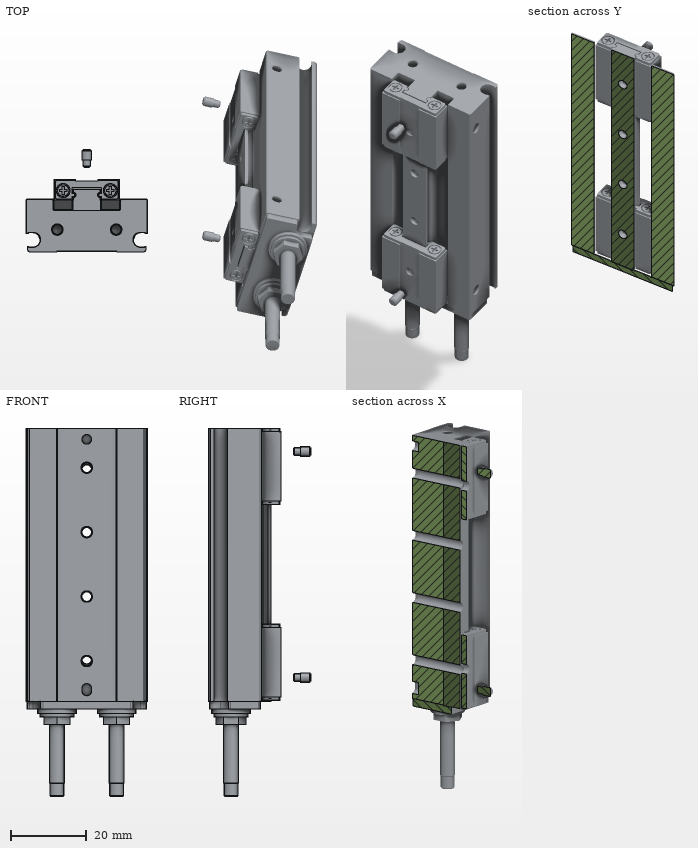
import cadquery as cq
import math

TOTAL_LENGTH = 97.1
HOUSING_LENGTH = 72.0
HOUSING_WIDTH = 32.0
HOUSING_DEPTH = 14.0
HOUSING_BOTTOM = TOTAL_LENGTH - HOUSING_LENGTH
HALF_WIDTH = HOUSING_WIDTH / 2
FRONT_CORNER_CHAMFER = 0.5
BACK_CORNER_RADIUS = 0.5

RELIEF_DEPTH = 0.2
RELIEF_HALF_WIDTH = 7.8

SLOT_DIAMETER = 3.8
SLOT_X = 14.2
SLOT_Y = 3.2
SLOT_MOUTH = 3.5
SLOT_LIP = 0.7
FRONT_LIP_SETBACK = 0.4

CHANNEL_WIDTH = 17.9
CHANNEL_DEPTH = 3.0
CHANNEL_FLOOR = HOUSING_DEPTH - CHANNEL_DEPTH
CHANNEL_RADIUS = 0.5

END_HOLE_X = 7.8
BORE_DIAMETER = 2.5
HOLE_MOUTH_DIAMETER = 3.0
HOLE_CHAMFER = (HOLE_MOUTH_DIAMETER - BORE_DIAMETER) / 2
DRILL_HALF_ANGLE = 59.0
THREAD_DEPTH = 5.05
MOUNTING_HOLE_COUNT = 4
MOUNTING_PITCH = 17.0
FIRST_MOUNTING_Z = 35.7
LOCATING_DIAMETER = 2.5
LOCATING_DEPTH = 2.0
LOCATING_HOLE_Z = 94.2
LOCATING_SLOT_Z = 28.2
LOCATING_SLOT_LENGTH = 3.2
PORT_Y = 11.1
PORT_ZS = (32.1, 90.1)

AXIS_X = 7.9
AXIS_Y = 5.9
COVER_INSET = 0.3
COVER_THICKNESS = 2.0
COVER_RADIUS = 0.6
COVER_PLUG_CLEARANCE = 0.3
COVER_PLUG_HEIGHT = 0.2
COVER_NOTCH_X = 12.1
COVER_NOTCH_RADIUS = 2.0
COLLAR_DIAMETER = 10.2
COLLAR_THICKNESS = 1.2
RING_DIAMETER = 9.0
RING_THICKNESS = 0.9
NUT_CORNER_DIAMETER = 8.0
NUT_THICKNESS = 2.0
ROD_DIAMETER = 4.0
ROD_TIP_DIAMETER = 3.7
ROD_TIP_LENGTH = 3.4
ROD_CHAMFER = 0.2

RAIL_WIDTH = 7.2
RAIL_TOP = 16.5
RAIL_GROOVE_RADIUS = 0.7
RAIL_GROOVE_Y = 15.05

CARRIAGE_LENGTH = 20.1
CARRIAGE_WIDTH = 17.2
CARRIAGE_TOP = 19.1
CARRIAGE_CLEARANCE = 0.3
CARRIAGE_BOTTOM = 13.7
CARRIAGE_CAP_BOTTOM = 14.0
CARRIAGE_ZS = (TOTAL_LENGTH - CARRIAGE_LENGTH, 25.3)
CARRIAGE_RELIEF_WIDTH = 6.0
CARRIAGE_RELIEF_DEPTH = 0.4
CARRIAGE_CAP_LENGTH = 0.9
CARRIAGE_CAP_INSET = 0.3
CARRIAGE_CAP_CHAMFER = 0.3
CARRIAGE_OPENING_WIDTH = RAIL_WIDTH + 2 * CARRIAGE_CLEARANCE
CARRIAGE_OPENING_TOP = 16.9
TRACK_RADIUS = 0.5
CARRIAGE_HOLE_SHIFT = 0.5
SCREW_X = 6.2
SCREW_Y = 16.2
SCREW_RECESS_DIAMETER = 3.7
SCREW_RECESS_DEPTH = 0.5
SCREW_HEAD_DIAMETER = 3.0
SCREW_CROSS_LENGTH = 2.0
SCREW_CROSS_WIDTH = 0.6
SCREW_CROSS_DEPTH = 0.5

PIN_ZS = (31.4, 91.0)
PIN_END_Y = 27.0
PIN_LENGTH = 4.7
PIN_HEAD_DIAMETER = 2.5
PIN_HEAD_LENGTH = 2.7
PIN_TAIL_DIAMETER = 2.0
PIN_CHAMFER = 0.4


def upright(outline, bottom, height):
    """Extrude an XY outline along +Z from the given height."""
    return outline.extrude(height).translate((0, 0, bottom))


def box(x_min, x_max, y_min, y_max, z_min, z_max):
    size = (x_max - x_min, y_max - y_min, z_max - z_min)
    return cq.Workplane("XY").box(*size, centered=False).translate((x_min, y_min, z_min))


def cylinder(start, direction, diameter, length):
    return cq.Workplane(cq.Solid.makeCylinder(diameter / 2, length, cq.Vector(*start), cq.Vector(*direction)))


def threaded_hole(start, direction):
    """Cutter for a blind hole with a chamfered mouth and a conical drill tip."""
    radius = BORE_DIAMETER / 2
    tip = radius / math.tan(math.radians(DRILL_HALF_ANGLE))
    profile = (
        cq.Workplane("XZ")
        .moveTo(0, 0)
        .lineTo(HOLE_MOUTH_DIAMETER / 2, 0)
        .lineTo(radius, HOLE_CHAMFER)
        .lineTo(radius, THREAD_DEPTH)
        .lineTo(0, THREAD_DEPTH + tip)
        .close()
        .revolve(360, (0, 0, 0), (0, 1, 0))
    )
    return cq.Workplane(profile.val().moved(cq.Location(cq.Plane(origin=start, normal=direction))))


def mounting_zs():
    return [FIRST_MOUNTING_Z + i * MOUNTING_PITCH for i in range(MOUNTING_HOLE_COUNT)]


def make_sensor_slot(side):
    """Round-bottomed slot with a narrower mouth, on the side given by +1 or -1."""
    lip_x = HALF_WIDTH - SLOT_LIP
    half_mouth = SLOT_MOUTH / 2
    half_slot = SLOT_DIAMETER / 2
    outline = (
        cq.Workplane("XY")
        .moveTo(side * SLOT_X, SLOT_Y - half_slot)
        .threePointArc((side * (SLOT_X - half_slot), SLOT_Y), (side * SLOT_X, SLOT_Y + half_slot))
        .lineTo(side * lip_x, SLOT_Y + half_slot)
        .lineTo(side * lip_x, SLOT_Y + half_mouth)
        .lineTo(side * HOUSING_WIDTH, SLOT_Y + half_mouth)
        .lineTo(side * HOUSING_WIDTH, SLOT_Y - half_mouth)
        .lineTo(side * lip_x, SLOT_Y - half_mouth)
        .lineTo(side * lip_x, SLOT_Y - half_slot)
        .close()
    )
    return upright(outline, HOUSING_BOTTOM, HOUSING_LENGTH)


def make_housing():
    body = box(-HALF_WIDTH, HALF_WIDTH, 0, HOUSING_DEPTH, HOUSING_BOTTOM, TOTAL_LENGTH)
    body = body.edges("|Z and >Y").fillet(BACK_CORNER_RADIUS)

    lip_x = HALF_WIDTH - FRONT_LIP_SETBACK
    for x_min, x_max in ((-HALF_WIDTH, -lip_x), (lip_x, HALF_WIDTH)):
        body = body.cut(box(x_min, x_max, 0, SLOT_Y, HOUSING_BOTTOM, TOTAL_LENGTH))
    body = body.edges("|Z and <Y").chamfer(FRONT_CORNER_CHAMFER)

    relief = (
        cq.Workplane("XY")
        .moveTo(-RELIEF_HALF_WIDTH - RELIEF_DEPTH, 0)
        .lineTo(-RELIEF_HALF_WIDTH, RELIEF_DEPTH)
        .lineTo(RELIEF_HALF_WIDTH, RELIEF_DEPTH)
        .lineTo(RELIEF_HALF_WIDTH + RELIEF_DEPTH, 0)
        .close()
    )
    body = body.cut(upright(relief, HOUSING_BOTTOM, HOUSING_LENGTH))

    channel = box(
        -CHANNEL_WIDTH / 2, CHANNEL_WIDTH / 2, CHANNEL_FLOOR, HOUSING_DEPTH, HOUSING_BOTTOM, TOTAL_LENGTH
    )
    body = body.cut(channel.edges("|Z and <Y").fillet(CHANNEL_RADIUS))

    for side in (-1, 1):
        body = body.cut(make_sensor_slot(side))
        body = body.cut(threaded_hole((side * END_HOLE_X, AXIS_Y, TOTAL_LENGTH), (0, 0, -1)))

    for z in PORT_ZS:
        body = body.cut(threaded_hole((-HALF_WIDTH, PORT_Y, z), (1, 0, 0)))

    for z in mounting_zs():
        body = body.cut(cylinder((0, 0, z), (0, 1, 0), BORE_DIAMETER, HOUSING_DEPTH))
        start = cq.Vector(0, RELIEF_DEPTH, z)
        mouth = cq.Solid.makeCone(
            HOLE_MOUTH_DIAMETER / 2, BORE_DIAMETER / 2, HOLE_CHAMFER, start, cq.Vector(0, 1, 0)
        )
        body = body.cut(cq.Workplane(mouth))

    locating_end = RELIEF_DEPTH + LOCATING_DEPTH
    body = body.cut(cylinder((0, 0, LOCATING_HOLE_Z), (0, 1, 0), LOCATING_DIAMETER, locating_end))
    slot = (
        cq.Workplane("XZ")
        .center(0, LOCATING_SLOT_Z)
        .slot2D(LOCATING_SLOT_LENGTH, LOCATING_DIAMETER, 90)
        .extrude(-locating_end)
    )
    return body.cut(slot)


def make_cover_notch(side):
    """Corner notch that clears a sensor slot, with its outer corners left sharp."""
    arc_x = COVER_NOTCH_X + COVER_NOTCH_RADIUS
    arc_middle = COVER_NOTCH_RADIUS * math.sqrt(0.5)
    outline = (
        cq.Workplane("XY")
        .moveTo(side * COVER_NOTCH_X, 0)
        .lineTo(side * COVER_NOTCH_X, SLOT_Y)
        .threePointArc(
            (side * (arc_x - arc_middle), SLOT_Y + arc_middle), (side * arc_x, SLOT_Y + COVER_NOTCH_RADIUS)
        )
        .lineTo(side * HALF_WIDTH, SLOT_Y + COVER_NOTCH_RADIUS)
        .lineTo(side * HALF_WIDTH, 0)
        .close()
    )
    return upright(outline, HOUSING_BOTTOM - COVER_THICKNESS, COVER_THICKNESS)


def make_end_cover():
    """Cover plate with both rod bushings, nuts and rods."""
    cover_bottom = HOUSING_BOTTOM - COVER_THICKNESS
    half_width = HALF_WIDTH - COVER_INSET
    cover = box(
        -half_width, half_width, COVER_INSET, HOUSING_DEPTH - COVER_INSET, cover_bottom, HOUSING_BOTTOM
    )
    for side in (-1, 1):
        cover = cover.cut(make_cover_notch(side))
    cover = cover.edges("|Z and (<Y or >Y or <X or >X)").fillet(COVER_RADIUS)

    plug_inner = RAIL_WIDTH / 2 + COVER_PLUG_CLEARANCE
    plug_width = CHANNEL_WIDTH / 2 - COVER_PLUG_CLEARANCE - plug_inner
    plug_depth = CHANNEL_DEPTH - 2 * COVER_PLUG_CLEARANCE
    for side in (-1, 1):
        plug = cq.Workplane("XY").box(plug_width, plug_depth, COVER_PLUG_HEIGHT)
        plug_center = (
            side * (plug_inner + plug_width / 2),
            CHANNEL_FLOOR + CHANNEL_DEPTH / 2,
            HOUSING_BOTTOM + COVER_PLUG_HEIGHT / 2,
        )
        cover = cover.union(plug.translate(plug_center))

    collar_bottom = cover_bottom - COLLAR_THICKNESS
    ring_bottom = collar_bottom - RING_THICKNESS
    nut_bottom = ring_bottom - NUT_THICKNESS
    for side in (-1, 1):
        axis = cq.Workplane("XY").center(side * AXIS_X, AXIS_Y)
        collar = upright(axis.circle(COLLAR_DIAMETER / 2), collar_bottom, COLLAR_THICKNESS)
        ring = upright(axis.circle(RING_DIAMETER / 2), ring_bottom, RING_THICKNESS)
        nut = upright(axis.polygon(6, NUT_CORNER_DIAMETER), nut_bottom, NUT_THICKNESS)
        nut = nut.rotate((side * AXIS_X, AXIS_Y, 0), (side * AXIS_X, AXIS_Y, 1), 90)
        rod = upright(axis.circle(ROD_DIAMETER / 2), ROD_TIP_LENGTH, nut_bottom - ROD_TIP_LENGTH)
        rod = rod.faces("<Z").chamfer(ROD_CHAMFER)
        tip = axis.circle(ROD_TIP_DIAMETER / 2).extrude(ROD_TIP_LENGTH)
        tip = tip.faces("<Z").chamfer(ROD_CHAMFER)
        for piece in (collar, ring, nut, rod, tip):
            cover = cover.union(piece)
    return cover


def make_rail():
    rail = box(-RAIL_WIDTH / 2, RAIL_WIDTH / 2, CHANNEL_FLOOR, RAIL_TOP, HOUSING_BOTTOM, TOTAL_LENGTH)
    for side in (-1, 1):
        start = (side * RAIL_WIDTH / 2, RAIL_GROOVE_Y, HOUSING_BOTTOM)
        rail = rail.cut(cylinder(start, (0, 0, 1), 2 * RAIL_GROOVE_RADIUS, HOUSING_LENGTH))
    for z in mounting_zs():
        rail = rail.cut(cylinder((0, CHANNEL_FLOOR, z), (0, 1, 0), BORE_DIAMETER, RAIL_TOP))
    return rail


def make_carriage(bottom, hole_z):
    """Carriage that straddles the rail, with an inset end cap and two screws at each end."""
    top = bottom + CARRIAGE_LENGTH
    half = CARRIAGE_WIDTH / 2
    cap_half = half - CARRIAGE_CAP_INSET
    cap_top = CARRIAGE_TOP - CARRIAGE_CAP_INSET
    block = box(
        -half, half, CARRIAGE_BOTTOM, CARRIAGE_TOP, bottom + CARRIAGE_CAP_LENGTH, top - CARRIAGE_CAP_LENGTH
    )
    caps = box(-cap_half, cap_half, CARRIAGE_CAP_BOTTOM, cap_top, bottom, top)
    carriage = block.union(caps.edges("|Z").chamfer(CARRIAGE_CAP_CHAMFER))

    relief_half = CARRIAGE_RELIEF_WIDTH / 2
    relief_y = CARRIAGE_TOP - CARRIAGE_RELIEF_DEPTH
    carriage = carriage.cut(box(-relief_half, relief_half, relief_y, CARRIAGE_TOP, bottom, top))

    opening_half = CARRIAGE_OPENING_WIDTH / 2
    carriage = carriage.cut(
        box(-opening_half, opening_half, CARRIAGE_BOTTOM, CARRIAGE_OPENING_TOP, bottom, top)
    )
    for side in (-1, 1):
        start = (side * RAIL_WIDTH / 2, RAIL_GROOVE_Y, bottom)
        carriage = carriage.union(cylinder(start, (0, 0, 1), 2 * TRACK_RADIUS, CARRIAGE_LENGTH))

    carriage = carriage.cut(
        cylinder((0, CARRIAGE_OPENING_TOP, hole_z), (0, 1, 0), BORE_DIAMETER, CARRIAGE_TOP)
    )

    cross_size = (SCREW_CROSS_LENGTH, SCREW_CROSS_WIDTH)
    for side in (-1, 1):
        for end, inward in ((bottom, 1), (top, -1)):
            start = (side * SCREW_X, SCREW_Y, end)
            recess = cylinder(start, (0, 0, inward), SCREW_RECESS_DIAMETER, SCREW_RECESS_DEPTH)
            head = cylinder(start, (0, 0, inward), SCREW_HEAD_DIAMETER, SCREW_RECESS_DEPTH)
            carriage = carriage.cut(recess.cut(head))
            for length, width in (cross_size, cross_size[::-1]):
                bar = cq.Workplane("XY").box(length, width, 2 * SCREW_CROSS_DEPTH)
                carriage = carriage.cut(bar.translate(start))
    return carriage


def make_pin(z):
    start = (0, PIN_END_Y, z)
    head = cylinder(start, (0, -1, 0), PIN_HEAD_DIAMETER, PIN_HEAD_LENGTH)
    tail_start = (0, PIN_END_Y - PIN_HEAD_LENGTH, z)
    tail = cylinder(tail_start, (0, -1, 0), PIN_TAIL_DIAMETER, PIN_LENGTH - PIN_HEAD_LENGTH)
    head = head.faces(">Y").chamfer(PIN_CHAMFER)
    tail = tail.faces("<Y").chamfer(PIN_CHAMFER)
    return head.union(tail)


housing = make_housing()
end_cover = make_end_cover()
rail = make_rail()
upper_z, lower_z = CARRIAGE_ZS
first_hole, *_, last_hole = mounting_zs()
carriages = [
    make_carriage(upper_z, last_hole - CARRIAGE_HOLE_SHIFT),
    make_carriage(lower_z, first_hole + CARRIAGE_HOLE_SHIFT),
]
pins = [make_pin(z) for z in PIN_ZS]

bodies = [housing, end_cover, rail, *carriages, *pins]
result = cq.Compound.makeCompound([body.solids().val() for body in bodies])